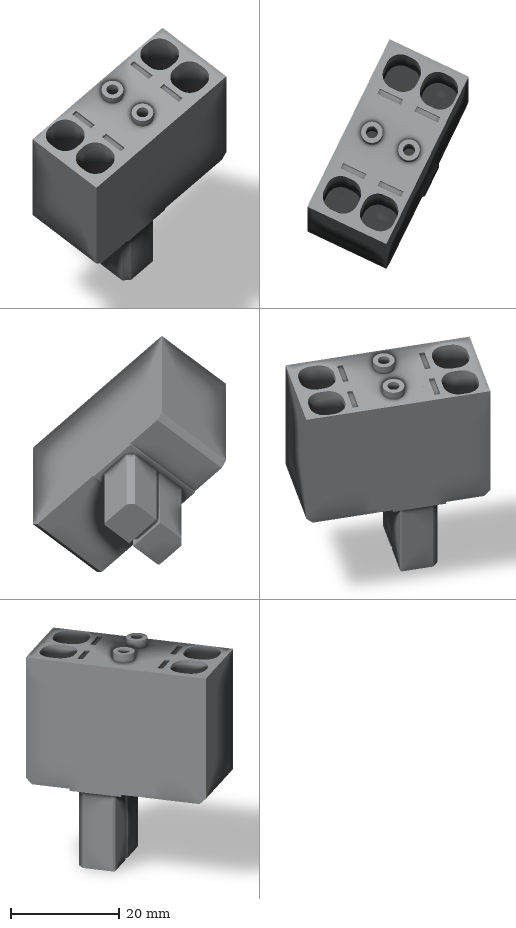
import cadquery as cq

width = 16.22
depth = 35.05
total_height = 42.6
leg_height = 15.5
post_height = 1.65
collar_height = 0.43
housing_top = total_height - post_height
block_bottom = leg_height + collar_height
bottom_chamfer = 1.2

collar_front = -9.03
collar_back = 1.0

pole_pitch = 7.62
pole_centre = -0.5
pole_positions = [pole_centre - pole_pitch / 2, pole_centre + pole_pitch / 2]

post_diameter = 4.0
post_bore = 2.2
post_bore_depth = 4.25

opening_size = 6.73
opening_radius = 2.8
opening_depth = 10.65
opening_y = 12.75

insert_width = 5.85
insert_length = 3.0
insert_depth = 4.25
insert_y = 7.35
slot_width = 4.75
slot_length = 1.05
slot_depth = 0.5
slot_offset = 0.43

leg_width = 6.47
leg_front = -8.0
leg_back = -0.65
leg_pitch = 7.45
leg_centre = -0.15
front_chamfer = 1.15
back_chamfer = 0.3


def make_block():
    """Block with chamfered lower edges and a shallow collar, extruded across the width."""
    half = depth / 2
    profile = [
        (-half, housing_top),
        (-half, block_bottom + bottom_chamfer),
        (-half + bottom_chamfer, block_bottom),
        (collar_front, block_bottom),
        (collar_front, leg_height),
        (collar_back, leg_height),
        (collar_back, block_bottom),
        (half - bottom_chamfer, block_bottom),
        (half, block_bottom + bottom_chamfer),
        (half, housing_top),
    ]
    return cq.Workplane("YZ").polyline(profile).close().extrude(width / 2, both=True)


def make_leg(side):
    """Leg whose two outer corners are chamfered; side is -1 for the left leg, 1 for the right."""
    centre = leg_centre + side * leg_pitch / 2
    inner = centre - side * leg_width / 2
    outer = centre + side * leg_width / 2
    outline = [
        (inner, leg_front),
        (outer - side * front_chamfer, leg_front),
        (outer, leg_front + front_chamfer),
        (outer, leg_back - back_chamfer),
        (outer - side * back_chamfer, leg_back),
        (inner, leg_back),
    ]
    return cq.Workplane("XY").polyline(outline).close().extrude(leg_height)


def make_post(x):
    return cq.Workplane("XY", origin=(x, 0, housing_top)).circle(post_diameter / 2).extrude(post_height)


def make_post_bore(x):
    return cq.Workplane("XY", origin=(x, 0, total_height)).circle(post_bore / 2).extrude(-post_bore_depth)


def make_opening(x, y):
    return (
        cq.Workplane("XY", origin=(x, y, housing_top))
        .rect(opening_size, opening_size)
        .extrude(-opening_depth)
        .edges("|Z")
        .fillet(opening_radius)
    )


def make_insert_blank(x, row):
    """Solid insert shape; also the recess it sits in. row is -1 for the front, 1 for the back."""
    return (
        cq.Workplane("XY", origin=(x, row * insert_y, housing_top))
        .rect(insert_width, insert_length)
        .extrude(-insert_depth)
    )


def make_insert(x, row):
    """Insert with a blind slot set towards the nearby wire opening."""
    slot_y = row * (insert_y + slot_offset)
    slot = (
        cq.Workplane("XY", origin=(x, slot_y, housing_top))
        .rect(slot_width, slot_length)
        .extrude(-slot_depth)
    )
    return make_insert_blank(x, row).cut(slot)


def make_housing():
    housing = make_block()
    for side in (-1, 1):
        housing = housing.union(make_leg(side))
    for x in pole_positions:
        housing = housing.union(make_post(x)).cut(make_post_bore(x))
        for row in (-1, 1):
            housing = housing.cut(make_opening(x, row * opening_y))
            housing = housing.cut(make_insert_blank(x, row))
    return housing


housing = make_housing()
inserts = [make_insert(x, row) for x in pole_positions for row in (-1, 1)]

result = cq.Compound.makeCompound([housing.val(), *[insert.val() for insert in inserts]])